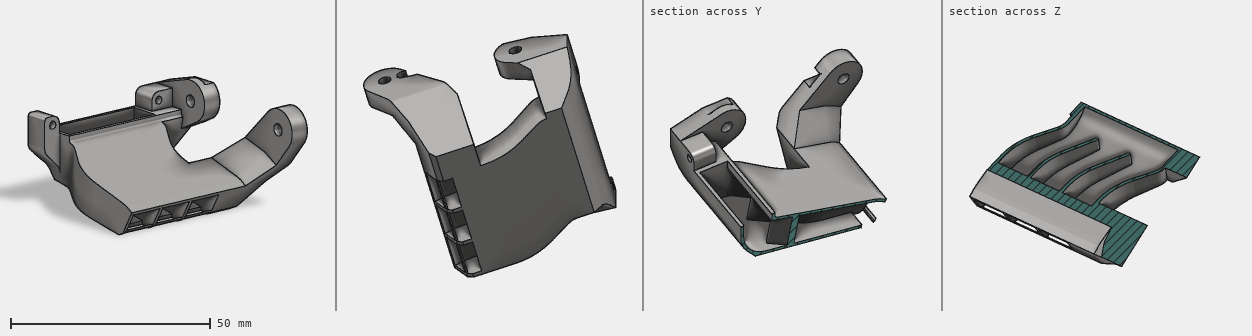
import cadquery as cq
import math

DEPTH = 49.0
WALL = 1.0
REACH = 106

TILT = 10.0
FLOOR_X = 4.3
FLOOR_LENGTH = 33.75
FLOOR_CUTBACK = 2.4

BOX_TOP = 18.45
BOX_RIGHT = 10.05
BOX_ARC_TOP = 14.75
BOX_ARC_RADIUS = 10.0
BOX_ARC_ANGLE = 40.0
INTAKE_RIGHT = 9.05
INTAKE_ARC_RADIUS = 8.05
BOX_ROOF_FILLET = 1.0

ROOF_START_Z = 16.75
ROOF_BEND = (39.45, 8.55)
ROOF_BEND_END = (40.65, 8.05)
OUTLET_TOP = (42.55, 6.9)
OUTLET_BOTTOM = (39.1, 0.8)

CURVE_START, CURVE_END = 4.35, 22.8
CURVE_DROP = 7.0
CURVE_ANGLE = 31.0
INNER_BEND_RADIUS = 5.0
OUTER_BEND_RADIUS = 20.0
DUCT_WIDTH = 30.05
CHANNELS = 3
NOSE_U = 5.25
NOSE_SHIFT = 6.6

LUG_THICKNESS = 5.05
LUG_RADIUS = 5.5
LUG_HOLE_RADIUS = 1.6
LUG_Z = 21.4
LEFT_LUG_X, RIGHT_LUG_X = 13.5, 47.5
LEFT_LUG_UNDERSIDE = 27.0
BRACKET_START = 38.65
ARM_START = 36.45
ARM_LEFT = 23.7
ARM_FLARE_START = 37.45
FLARE_BEND = (39.7, 8.5)
FLARE_BEND_END = (40.25, 8.2)
ARM_FILLET = 2.1

NOTCH_DEPTH = 2.75
LEFT_NOTCH_Z = 25.95
RIGHT_NOTCH_Z = 20.8
RIGHT_NOTCH_HEIGHT = 3.0
RIGHT_NOTCH_END_X = 42.8

SCREW_LUG_LENGTH = 6.45
SCREW_LUG_TOP = 23.25
SCREW_HOLE_RADIUS = 1.0
SCREW_HOLE_Z = 20.95
SCREW_LUG_RADIUS = 2.2
FRONT_LUG_Y = 1.95
FRONT_LUG_CORNER = 1.0
FRONT_LUG_FOOT = 8.1
FRONT_LUG_BEND = 2.5
FRONT_SCREW_Y, BACK_SCREW_Y = 4.6, 39.55

SIN_T, COS_T = math.sin(math.radians(TILT)), math.cos(math.radians(TILT))
FLOOR_Z = FLOOR_LENGTH * SIN_T
PLATE_FRONT = DEPTH - LUG_THICKNESS
BOX_FRONT = CURVE_DROP
FLOOR_TIP = (FLOOR_X + FLOOR_LENGTH * COS_T, 0)
ROOF_START = (BOX_RIGHT, ROOF_START_Z)
ROOF_SLOPE = (ROOF_BEND[1] - ROOF_START_Z) / (ROOF_BEND[0] - BOX_RIGHT)
ROOF_LINE = [ROOF_START, ROOF_BEND, ROOF_BEND_END, OUTLET_TOP]
LEFT_LUG, RIGHT_LUG = (LEFT_LUG_X, LUG_Z), (RIGHT_LUG_X, LUG_Z)

TILTED = cq.Plane(origin=(FLOOR_X, 0, FLOOR_Z), xDir=(COS_T, 0, -SIN_T), normal=(SIN_T, 0, COS_T))


def side_prism(sketch, y_from, y_to):
    """Extrude a closed XZ sketch from y_from to y_to."""
    return sketch.extrude(y_from - y_to).translate((0, y_from, 0))


def side():
    return cq.Workplane("XZ")


def box(x0, x1, y0, y1, z0, z1):
    return cq.Workplane("XY").box(x1 - x0, y1 - y0, z1 - z0, centered=False).translate((x0, y0, z0))


def polar(center, radius, degrees):
    angle = math.radians(degrees)
    return (center[0] + radius * math.cos(angle), center[1] + radius * math.sin(angle))


def tangent_angle(point, center, radius, turn):
    """Direction, seen from the centre, where a line from the point touches the circle."""
    dx, dz = point[0] - center[0], point[1] - center[1]
    return math.degrees(math.atan2(dz, dx) + turn * math.acos(radius / math.hypot(dx, dz)))


def offset_line(points, distance):
    """Shift an open line sideways (to the left of its direction), keeping sharp corners."""
    normals = []
    for (x0, z0), (x1, z1) in zip(points, points[1:]):
        length = math.hypot(x1 - x0, z1 - z0)
        normals.append(((z0 - z1) / length, (x1 - x0) / length))
    before = [normals[0]] + normals
    after = normals + [normals[-1]]
    shifted = []
    for (x, z), (ax, az), (bx, bz) in zip(points, before, after):
        scale = distance / (1 + ax * bx + az * bz)
        shifted.append((x + scale * (ax + bx), z + scale * (az + bz)))
    return shifted


def roof_z(x):
    return ROOF_START_Z + ROOF_SLOPE * (x - BOX_RIGHT)


def floor_point(u, w):
    return (FLOOR_X + u * COS_T + w * SIN_T, FLOOR_Z - u * SIN_T + w * COS_T)


def wall_curve(base_y, offset):
    """Points of an S-curve that ends at Y = base_y, moved sideways by a parallel offset.

    They are the start, middle and end of the first bend, then the same for the second bend.
    """
    first_center = (CURVE_START, base_y + CURVE_DROP - INNER_BEND_RADIUS)
    second_center = (CURVE_END, base_y + OUTER_BEND_RADIUS)
    first_angles = (90, 90 - CURVE_ANGLE / 2, 90 - CURVE_ANGLE)
    second_angles = (-90 - CURVE_ANGLE, -90 - CURVE_ANGLE / 2, -90)
    first = [polar(first_center, INNER_BEND_RADIUS + offset, angle) for angle in first_angles]
    second = [polar(second_center, OUTER_BEND_RADIUS - offset, angle) for angle in second_angles]
    return first + second


def plan_strip(u_from, front, back):
    """Solid between two S-curves and beyond the outlet, standing square on the floor plane."""
    start, mid_1, end_1, start_2, mid_2, end = front
    back_start, back_mid_1, back_end_1, back_start_2, back_mid_2, back_end = back
    sketch = (cq.Workplane(TILTED).moveTo(u_from, start[1]).lineTo(*start)
              .threePointArc(mid_1, end_1).lineTo(*start_2).threePointArc(mid_2, end)
              .lineTo(REACH, end[1]).lineTo(REACH, back_end[1]).lineTo(*back_end)
              .threePointArc(back_mid_2, back_start_2).lineTo(*back_end_1)
              .threePointArc(back_mid_1, back_start).lineTo(u_from, back_start[1]).close())
    return sketch.extrude(REACH / 2, both=True)


def tilted_block(u_from, u_to, points_vw):
    """Prism along u with a (Y, w) outline."""
    plane = cq.Plane(origin=TILTED.toWorldCoords((u_from, 0, 0)).toTuple(),
                     xDir=(0, 1, 0), normal=TILTED.xDir.toTuple())
    return cq.Workplane(plane).polyline(points_vw).close().extrude(u_to - u_from)


def box_underside(sketch):
    """From (0, top) down the outer wall, round the curve and on to the floor start."""
    center = (BOX_ARC_RADIUS, BOX_ARC_TOP)
    middle = polar(center, BOX_ARC_RADIUS, 180 + BOX_ARC_ANGLE / 2)
    end = polar(center, BOX_ARC_RADIUS, 180 + BOX_ARC_ANGLE)
    return sketch.lineTo(0, BOX_ARC_TOP).threePointArc(middle, end).lineTo(FLOOR_X, FLOOR_Z)


def body_blank():
    """Side outline of box and duct over the full depth."""
    sketch = box_underside(side().moveTo(0, BOX_TOP))
    sketch = sketch.lineTo(*FLOOR_TIP).lineTo(*OUTLET_BOTTOM)
    for point in reversed(ROOF_LINE):
        sketch = sketch.lineTo(*point)
    blank = side_prism(sketch.lineTo(BOX_RIGHT, BOX_TOP).close(), 0, DEPTH)
    roof_corner = cq.NearestToPointSelector((BOX_RIGHT, DEPTH / 2, ROOF_START_Z))
    return blank.edges(roof_corner).fillet(BOX_ROOF_FILLET)


def bracket_blank(u_from, u_to, start):
    """Tall prism behind the duct, with a 45 degree underside that leaves the floor at Y = start."""
    inside = DUCT_WIDTH / 2
    outline = [(inside, 0), (start, 0), (DEPTH, DEPTH - start), (DEPTH, REACH), (inside, REACH)]
    return tilted_block(u_from, u_to, outline)


def arm_blank():
    """Bracket prism of the right arm, rounded where its underside meets the back face."""
    edge_point = TILTED.toWorldCoords(((ARM_LEFT + REACH) / 2, DEPTH, DEPTH - ARM_START))
    blank = bracket_blank(ARM_LEFT, REACH, ARM_START)
    return blank.edges(cq.NearestToPointSelector(edge_point.toTuple())).fillet(ARM_FILLET)


def intake_pocket():
    """Open-topped pocket in the box with a rounded bottom that runs into the duct floor."""
    slope = math.radians(TILT)
    arc_end_x = WALL + INTAKE_ARC_RADIUS * (1 - SIN_T)
    arc_end_z = FLOOR_Z - (arc_end_x - FLOOR_X) * math.tan(slope) + WALL / COS_T
    center = (WALL + INTAKE_ARC_RADIUS, arc_end_z + INTAKE_ARC_RADIUS * COS_T)
    middle = 180 + (90 - TILT) / 2
    floor_z = arc_end_z - (INTAKE_RIGHT - arc_end_x) * math.tan(slope)
    sketch = (side().moveTo(WALL, BOX_TOP).lineTo(WALL, center[1])
              .threePointArc(polar(center, INTAKE_ARC_RADIUS, middle), (arc_end_x, arc_end_z))
              .lineTo(INTAKE_RIGHT, floor_z).lineTo(INTAKE_RIGHT, BOX_TOP).close())
    return side_prism(sketch, BOX_FRONT + WALL, BOX_FRONT + DUCT_WIDTH - WALL)


def duct_channels():
    """Air space of the duct, split by curved dividers with rounded noses."""
    start = floor_point(CURVE_START - WALL, WALL)
    end = floor_point(FLOOR_LENGTH + WALL, WALL)
    roof = offset_line([(start[0], roof_z(start[0])), ROOF_BEND, ROOF_BEND_END, OUTLET_TOP], -WALL)
    beyond = (OUTLET_TOP[0] + WALL, roof[-1][1] - WALL)
    space = side_prism(side().polyline([start] + roof + [beyond, end]).close(), 0, DEPTH)
    mouth_start = FLOOR_LENGTH - FLOOR_CUTBACK
    mouth = tilted_block(mouth_start, FLOOR_LENGTH + WALL,
                         [(0, -WALL), (DEPTH, -WALL), (DEPTH, 2 * WALL), (0, 2 * WALL)])
    space = space.union(mouth)
    space = space.intersect(plan_strip(0, wall_curve(0, WALL), wall_curve(DUCT_WIDTH, -WALL)))
    pitch = (DUCT_WIDTH - WALL) / CHANNELS
    for index in range(1, CHANNELS):
        space = space.cut(divider(index * pitch + WALL / 2))
    return space


def divider(y):
    """Curved partition, centred on Y = y at the outlet, with a rounded nose."""
    nose = (NOSE_U, y + NOSE_SHIFT)
    bend_center = (CURVE_END, y + OUTER_BEND_RADIUS)
    touch = tangent_angle(nose, bend_center, OUTER_BEND_RADIUS, 1)
    inner, outer = OUTER_BEND_RADIUS - WALL / 2, OUTER_BEND_RADIUS + WALL / 2
    middle = (touch - 90) / 2
    sketch = (cq.Workplane(TILTED).moveTo(*polar(nose, WALL / 2, touch + 180))
              .threePointArc(polar(nose, WALL / 2, touch - 90), polar(nose, WALL / 2, touch))
              .lineTo(*polar(bend_center, outer, touch))
              .threePointArc(polar(bend_center, outer, middle), polar(bend_center, outer, -90))
              .lineTo(REACH, y - WALL / 2).lineTo(REACH, y + WALL / 2)
              .lineTo(*polar(bend_center, inner, -90))
              .threePointArc(polar(bend_center, inner, middle), polar(bend_center, inner, touch))
              .close())
    return sketch.extrude(REACH / 2, both=True)


def left_lug():
    corner = (0, SCREW_LUG_TOP)
    upper = tangent_angle(corner, LEFT_LUG, LUG_RADIUS, -1)
    lower = LEFT_LUG_UNDERSIDE - 90
    touch = polar(LEFT_LUG, LUG_RADIUS, lower)
    drop = (touch[0] - FLOOR_X) * math.tan(math.radians(LEFT_LUG_UNDERSIDE))
    root = (FLOOR_X, touch[1] - drop)
    sketch = (side().moveTo(*corner).lineTo(*polar(LEFT_LUG, LUG_RADIUS, upper))
              .threePointArc(polar(LEFT_LUG, LUG_RADIUS, 0), touch)
              .lineTo(*root).lineTo(0, BOX_ARC_TOP).close())
    plate = side_prism(sketch, PLATE_FRONT, DEPTH)
    plate = plate.intersect(bracket_blank(-REACH, REACH, BRACKET_START))
    notch = box(0, REACH, DEPTH - NOTCH_DEPTH, DEPTH, LEFT_NOTCH_Z, REACH)
    return plate.cut(notch)


def right_arm():
    """Arm rising from the outlet end of the duct to the right pivot."""
    left = floor_point(ARM_LEFT, 0)
    height = (roof_z(left[0]) - left[1]) / (COS_T - ROOF_SLOPE * SIN_T)
    root = floor_point(ARM_LEFT, height)
    upper = tangent_angle(root, RIGHT_LUG, LUG_RADIUS, -1)
    lower = tangent_angle(OUTLET_TOP, RIGHT_LUG, LUG_RADIUS, 1)
    sketch = (side().moveTo(*root).lineTo(*polar(RIGHT_LUG, LUG_RADIUS, upper))
              .threePointArc(polar(RIGHT_LUG, LUG_RADIUS, 0), polar(RIGHT_LUG, LUG_RADIUS, lower))
              .lineTo(*OUTLET_TOP).lineTo(*OUTLET_BOTTOM).lineTo(*FLOOR_TIP).lineTo(*left).close())
    arm = side_prism(sketch, ARM_FLARE_START, DEPTH)
    arm = arm.intersect(arm_blank())
    plate = box(0, REACH, PLATE_FRONT, DEPTH, 0, REACH)
    arm = arm.intersect(plate.union(arm_flare()))
    return arm.cut(right_notch(root[0]))


def right_notch(start_x):
    """Horizontal slot with a rounded end, entering the arm through its upper face."""
    floor_z, roof = RIGHT_NOTCH_Z, RIGHT_NOTCH_Z + RIGHT_NOTCH_HEIGHT
    radius = RIGHT_NOTCH_HEIGHT / 2
    sketch = (side().moveTo(start_x, floor_z).lineTo(RIGHT_NOTCH_END_X, floor_z)
              .threePointArc((RIGHT_NOTCH_END_X + radius, floor_z + radius), (RIGHT_NOTCH_END_X, roof))
              .lineTo(start_x, roof).close())
    return side_prism(sketch, DEPTH - NOTCH_DEPTH, DEPTH)


def arm_flare():
    """Space under the roof surfaces after they turn up 45 degrees towards the lug plate."""
    lip_slope = (OUTLET_TOP[1] - FLARE_BEND_END[1]) / (OUTLET_TOP[0] - FLARE_BEND_END[0])
    far = (REACH, OUTLET_TOP[1] + lip_slope * (REACH - OUTLET_TOP[0]))
    line = [ROOF_START, FLARE_BEND, FLARE_BEND_END, far]
    run = PLATE_FRONT - ARM_FLARE_START
    near_outline = line + [(line[0][0], far[1])]
    far_line = offset_line(line, run)
    far_outline = far_line + [(far_line[0][0], far[1])]
    flare = (side().polyline(near_outline).close().workplane(offset=-run)
             .polyline(far_outline).close().loft(ruled=True))
    return flare.translate((0, ARM_FLARE_START, 0))


def front_screw_lug():
    bend_y = FRONT_LUG_BEND * (1 - math.cos(math.pi / 4))
    bend_z = FRONT_LUG_BEND * math.sin(math.pi / 4)
    half_y = FRONT_LUG_BEND * (1 - math.cos(math.pi / 8))
    half_z = FRONT_LUG_BEND * math.sin(math.pi / 8)
    slope = BOX_FRONT - FRONT_LUG_Y - 2 * bend_y
    top_bend = FRONT_LUG_FOOT + 2 * bend_z + slope
    back = FRONT_SCREW_Y + SCREW_LUG_RADIUS
    inside = BOX_FRONT + WALL
    lug = (cq.Workplane("YZ").moveTo(FRONT_LUG_Y, SCREW_LUG_TOP).lineTo(FRONT_LUG_Y, top_bend)
           .threePointArc((FRONT_LUG_Y + half_y, top_bend - half_z),
                          (FRONT_LUG_Y + bend_y, top_bend - bend_z))
           .lineTo(BOX_FRONT - bend_y, FRONT_LUG_FOOT + bend_z)
           .threePointArc((BOX_FRONT - half_y, FRONT_LUG_FOOT + half_z), (BOX_FRONT, FRONT_LUG_FOOT))
           .lineTo(inside, FRONT_LUG_FOOT).lineTo(inside, BOX_TOP).lineTo(back, BOX_TOP)
           .lineTo(back, SCREW_LUG_TOP).close().extrude(SCREW_LUG_LENGTH))
    lug = lug.edges("|X and >Z and <Y").fillet(FRONT_LUG_CORNER)
    lug = lug.edges("|X and >Z").edges(">Y").fillet(SCREW_LUG_RADIUS)
    outline = box_underside(side().moveTo(0, SCREW_LUG_TOP))
    outline = outline.lineTo(REACH, FLOOR_Z).lineTo(REACH, SCREW_LUG_TOP).close()
    return lug.intersect(side_prism(outline, 0, DEPTH))


def back_screw_lug():
    lug = box(0, SCREW_LUG_LENGTH, BACK_SCREW_Y - SCREW_LUG_RADIUS, PLATE_FRONT, BOX_TOP, SCREW_LUG_TOP)
    return lug.edges("|X and >Z and <Y").fillet(SCREW_LUG_RADIUS)


plan = plan_strip(-REACH, wall_curve(0, 0), wall_curve(DUCT_WIDTH, 0))
plan = plan.union(bracket_blank(-REACH, CURVE_START, BRACKET_START))
plan = plan.union(arm_blank())

result = body_blank().intersect(plan)
for addition in (left_lug(), right_arm(), front_screw_lug(), back_screw_lug()):
    result = result.union(addition)

result = result.cut(intake_pocket()).cut(duct_channels())

for lug_x in (LEFT_LUG_X, RIGHT_LUG_X):
    hole = side().center(lug_x, LUG_Z).circle(LUG_HOLE_RADIUS)
    result = result.cut(side_prism(hole, PLATE_FRONT, DEPTH))

for screw_y in (FRONT_SCREW_Y, BACK_SCREW_Y):
    hole = (cq.Workplane("YZ").center(screw_y, SCREW_HOLE_Z)
            .circle(SCREW_HOLE_RADIUS).extrude(SCREW_LUG_LENGTH))
    result = result.cut(hole)